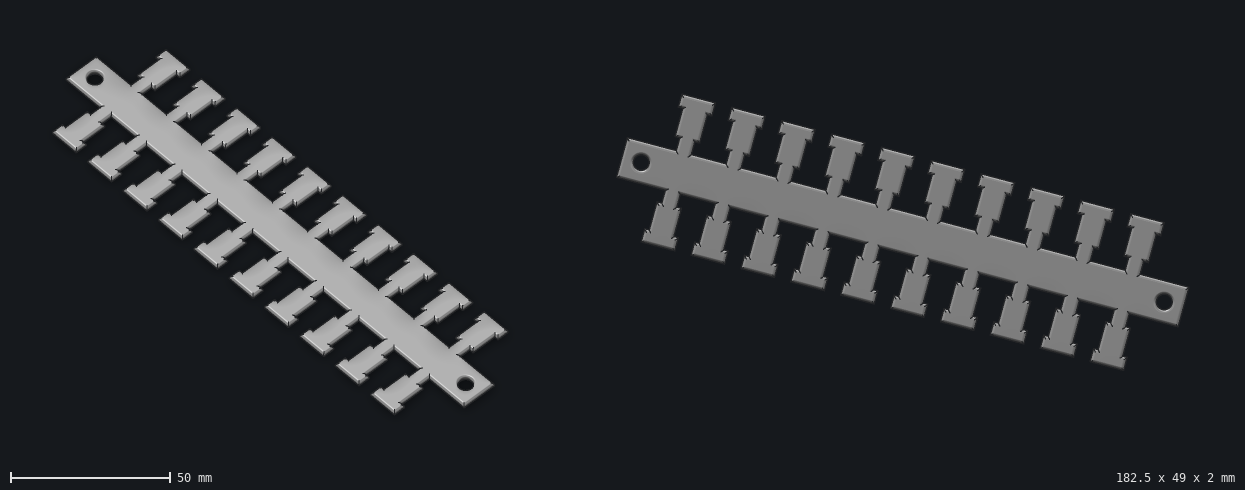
import cadquery as cq

bar_length = 182.5
bar_width = 13.1
thickness = 2.0
edge_radius = 0.99

overall_width = 49.0
tab_count = 10
tab_row_length = 145.8
tab_pitch = tab_row_length / (tab_count - 1)
neck_width = 5.0
body_width = 8.0
head_width = 11.0
body_start = 10.8
head_start = 20.0

hole_spacing = 169.9
hole_diameter = 5.0

end_length = (bar_length - tab_count * tab_pitch) / 2


def plate(x_size, y_size, y_centre=0):
    """Flat rectangle of full thickness standing on Z = 0, centred on X = 0."""
    block = cq.Workplane("XY").box(x_size, y_size, thickness, centered=(True, True, False))
    return block.translate((0, y_centre, 0))


def outer_block(x_size, start, side):
    """Block reaching from the given distance off the centreline to the outer edge of the part."""
    length = overall_width / 2 - start
    return plate(x_size, length, side * (overall_width - length) / 2)


def tab_cell():
    """One pitch of the bar with its two opposite tabs; only its flat joining ends stay sharp."""
    cell = plate(tab_pitch, bar_width).union(plate(neck_width, overall_width))
    for side in (-1, 1):
        cell = cell.union(outer_block(body_width, body_start, side))
        cell = cell.union(outer_block(head_width, head_start, side))
    return cell.faces("<Z or >Z").edges("not (<X or >X)").fillet(edge_radius)


def right_end():
    """Bar end with its hole, in place at +X; only its flat joining end stays sharp."""
    centre_x = (bar_length - end_length) / 2
    block = plate(end_length, bar_width).translate((centre_x, 0, 0))
    hole = cq.Workplane("XY").center(hole_spacing / 2, 0).circle(hole_diameter / 2).extrude(thickness)
    return block.cut(hole).faces("<Z or >Z").edges("not <X").fillet(edge_radius)


end = right_end()
cell = tab_cell()
result = end.union(end.mirror("YZ"))
for index in range(tab_count):
    cell_x = (index - (tab_count - 1) / 2) * tab_pitch
    result = result.union(cell.translate((cell_x, 0, 0)))
result = result.clean()